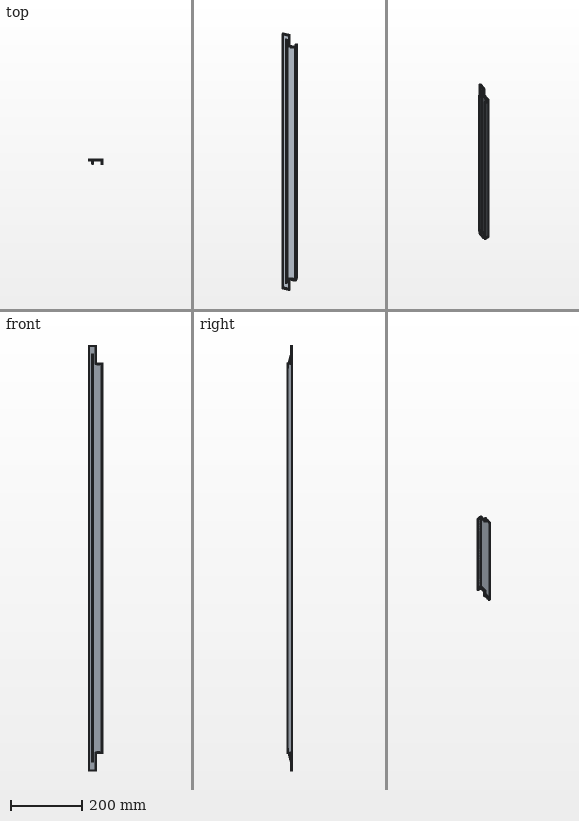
import cadquery as cq
import math

width = 38.0
depth = 13.0
length = 1195.0

sheet_thickness = 3.0
strip_width = width / 2
end_setback = 50.0
flange_length = length - 2 * end_setback

rib_centre_x = 10.0
rib_root_thickness = 2.0
rib_tip_thickness = 1.0
rib_taper_height = 4.5
rib_end_margin = end_setback / 2
ramp_angle = 15.0

lip_thickness = 3.0
lip_front_gap = 0.5

notch_width = 4.0
notch_depth = 2.0
notch_centre_x = 26.0

back_y = depth / 2
sheet_front_y = back_y - sheet_thickness
rib_tip_y = -depth / 2
lip_front_y = rib_tip_y + lip_front_gap

left_x = -width / 2


def block(x_min, x_max, y_min, y_max, z_length):
    """Box centred on Z = 0 between the given X and Y limits."""
    size = (x_max - x_min, y_max - y_min, z_length)
    centre = ((x_min + x_max) / 2, (y_min + y_max) / 2, 0)
    return cq.Workplane("XY").box(*size).translate(centre)


def sheet():
    """Full-length strip widened by the shorter flange on the +X side."""
    strip = block(left_x, left_x + strip_width, sheet_front_y, back_y, length)
    flange = block(left_x, left_x + width, sheet_front_y, back_y, flange_length)
    return strip.union(flange)


def lip():
    """Lip turned forward along the outer edge of the flange."""
    right_x = left_x + width
    return block(right_x - lip_thickness, right_x, lip_front_y, back_y, flange_length)


def rib():
    """Rib on the front of the strip: a tapered section cut to a ramp at each end."""
    half_root = rib_root_thickness / 2
    half_tip = rib_tip_thickness / 2
    taper_y = rib_tip_y + rib_taper_height
    foot_z = length / 2 - rib_end_margin
    ramp_run = (sheet_front_y - rib_tip_y) / math.tan(math.radians(ramp_angle))
    crest_z = foot_z - ramp_run

    section = [
        (-half_root, sheet_front_y),
        (-half_root, taper_y),
        (-half_tip, rib_tip_y),
        (half_tip, rib_tip_y),
        (half_root, taper_y),
        (half_root, sheet_front_y),
    ]
    bar = cq.Workplane("XY").polyline(section).close().extrude(foot_z, both=True)

    side_outline = [
        (sheet_front_y, -foot_z),
        (rib_tip_y, -crest_z),
        (rib_tip_y, crest_z),
        (sheet_front_y, foot_z),
    ]
    side = cq.Workplane("YZ").polyline(side_outline).close().extrude(half_root, both=True)
    return bar.intersect(side).translate((left_x + rib_centre_x, 0, 0))


def end_notches():
    """Cutter for the notches, one in each end of the flange."""
    x_min = left_x + notch_centre_x - notch_width / 2
    notch = block(x_min, x_min + notch_width, sheet_front_y, back_y, 2 * notch_depth)
    half_flange = flange_length / 2
    upper = notch.translate((0, 0, half_flange))
    lower = notch.translate((0, 0, -half_flange))
    return upper.union(lower)


result = sheet().union(lip()).cut(end_notches()).union(rib())